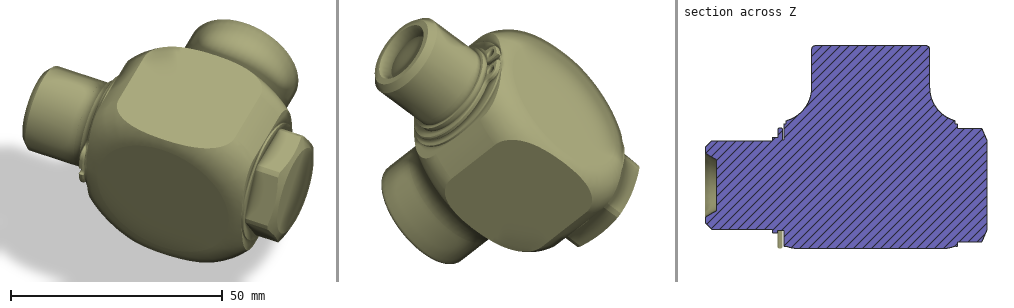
import cadquery as cq
import math

BODY_HALF = 20.0
BODY_RADIUS = 25.0
BODY_EDGE_RADIUS = 8.0
FRONT_Y = -15.0

NECK_RADIUS = 14.0
NECK_END_Y = 33.0
NECK_EDGE_RADIUS = 1.0
FLARE_RADIUS = 8.0
FLARE_END_Y = 23.0

PAD_RADIUS = 29.0 / 2
PAD_END = 20.5

GROOVE_RADIUS = 21.5 / 2
COLLAR_RADIUS = 22.7 / 2
COLLAR_START = 21.9
COLLAR_END = 23.2
PIPE_RADIUS = 21.0 / 2
RELIEF_RADIUS = 20.96 / 2
RELIEF_END = 25.0
PIPE_END = 39.0
PIPE_CHAMFER = 1.5
MOUTH_RADIUS = 7.5
MOUTH_FLOOR_RADIUS = 6.0
MOUTH_CONE_HALF_ANGLE = 30.0

RING_THICKNESS = 1.2
RING_RADIUS = 12.75
RING_OFFSET_Y = 0.8
RING_EDGE_CHAMFER = 0.25
LUG_OUTER_RADIUS = 15.0
LUG_HALF_WIDTH = 5.5
LUG_CORNER_RADIUS = 2.5
LUG_ROOT_RADIUS = 1.5
LUG_HOLE_DIAMETER = 2.0
LUG_HOLE_Y = -12.6
LUG_HOLE_Z = 3.0
RING_GAP = 2.0

HEX_FLATS = 24.0
HEX_TURNED_RADIUS = 13.5
HEX_END = 27.5
HEX_FACE_RADIUS = 10.6
HEX_CHAMFER_LENGTH = 1.25


def x_cylinder(radius, start, end):
    """Cylinder about the X axis between two X positions."""
    return cq.Workplane("YZ").workplane(offset=start).circle(radius).extrude(end - start)


def make_body():
    """Turned body with neck, trimmed to flat sides in X and Z."""
    rounding_center = BODY_RADIUS - BODY_EDGE_RADIUS
    flare_center = NECK_RADIUS + FLARE_RADIUS
    radius_sum = BODY_EDGE_RADIUS + FLARE_RADIUS
    center_gap = flare_center - rounding_center
    back_center_y = FLARE_END_Y - math.sqrt(radius_sum**2 - center_gap**2)
    lean = math.asin(center_gap / radius_sum)

    def rounding_point(y_center, angle):
        return (
            rounding_center + BODY_EDGE_RADIUS * math.sin(angle),
            y_center + BODY_EDGE_RADIUS * math.cos(angle),
        )

    def flare_point(angle):
        return (
            flare_center - FLARE_RADIUS * math.sin(angle),
            FLARE_END_Y - FLARE_RADIUS * math.cos(angle),
        )

    front_center_y = FRONT_Y + BODY_EDGE_RADIUS
    quarter = math.pi / 2
    turned = (
        cq.Workplane("XY")
        .moveTo(0, FRONT_Y)
        .lineTo(rounding_center, FRONT_Y)
        .threePointArc(rounding_point(front_center_y, 1.5 * quarter), (BODY_RADIUS, front_center_y))
        .lineTo(BODY_RADIUS, back_center_y)
        .threePointArc(
            rounding_point(back_center_y, (lean + quarter) / 2),
            rounding_point(back_center_y, lean),
        )
        .threePointArc(flare_point((lean + quarter) / 2), (NECK_RADIUS, FLARE_END_Y))
        .lineTo(NECK_RADIUS, NECK_END_Y)
        .lineTo(0, NECK_END_Y)
        .close()
        .revolve(360, (0, 0, 0), (0, 1, 0))
        .faces(">Y")
        .edges()
        .fillet(NECK_EDGE_RADIUS)
    )
    trim_length = 2 * (NECK_END_Y - FRONT_Y)
    return turned.intersect(cq.Workplane("XY").box(2 * BODY_HALF, 2 * trim_length, 2 * BODY_HALF))


def make_pipe():
    """Stepped pipe along -X with its groove floor, collar, chamfer and conical mouth."""
    groove = x_cylinder(GROOVE_RADIUS, -COLLAR_START, 0)
    collar = x_cylinder(COLLAR_RADIUS, -COLLAR_END, -COLLAR_START)
    relief = x_cylinder(RELIEF_RADIUS, -RELIEF_END, -COLLAR_END)
    pipe = x_cylinder(PIPE_RADIUS, -PIPE_END, -RELIEF_END).faces("<X").edges().chamfer(PIPE_CHAMFER)
    mouth_depth = (MOUTH_RADIUS - MOUTH_FLOOR_RADIUS) / math.tan(math.radians(MOUTH_CONE_HALF_ANGLE))
    mouth = cq.Workplane(
        cq.Solid.makeCone(
            MOUTH_RADIUS, MOUTH_FLOOR_RADIUS, mouth_depth, cq.Vector(-PIPE_END, 0, 0), cq.Vector(1, 0, 0)
        )
    )
    return groove.union(collar).union(relief).union(pipe).cut(mouth)


def make_snap_ring():
    """Eccentric snap ring with two drilled lugs either side of a gap."""
    start = -COLLAR_START
    plane = cq.Workplane("YZ").workplane(offset=start)
    ring = plane.center(RING_OFFSET_Y, 0).circle(RING_RADIUS).extrude(RING_THICKNESS)
    lug_block = plane.center(-LUG_OUTER_RADIUS / 2, 0).rect(LUG_OUTER_RADIUS, 2 * LUG_HALF_WIDTH)
    lugs = lug_block.extrude(RING_THICKNESS).intersect(
        plane.circle(LUG_OUTER_RADIUS).extrude(RING_THICKNESS)
    )
    ring = ring.union(lugs)
    corner_y = -math.sqrt(LUG_OUTER_RADIUS**2 - LUG_HALF_WIDTH**2)
    root_y = RING_OFFSET_Y - math.sqrt(RING_RADIUS**2 - LUG_HALF_WIDTH**2)
    middle_x = start + RING_THICKNESS / 2
    for y, radius in ((corner_y, LUG_CORNER_RADIUS), (root_y, LUG_ROOT_RADIUS)):
        for z in (-LUG_HALF_WIDTH, LUG_HALF_WIDTH):
            ring = ring.edges(cq.selectors.NearestToPointSelector((middle_x, y, z))).fillet(radius)
    gap = plane.center(-LUG_OUTER_RADIUS, 0).rect(2 * LUG_OUTER_RADIUS, RING_GAP).extrude(RING_THICKNESS)
    holes = (
        plane.pushPoints([(LUG_HOLE_Y, -LUG_HOLE_Z), (LUG_HOLE_Y, LUG_HOLE_Z)])
        .circle(LUG_HOLE_DIAMETER / 2)
        .extrude(RING_THICKNESS)
    )
    ring = ring.cut(gap).cut(holes)
    return ring.faces("<X or >X").edges().chamfer(RING_EDGE_CHAMFER)


def make_hex_head():
    """Hexagon with corners at +Y and -Y, turned and chamfered at the outer end."""
    corner_diameter = HEX_FLATS / math.cos(math.pi / 6)
    hexagon = cq.Workplane("YZ").polygon(6, corner_diameter).extrude(HEX_END)
    turned = (
        x_cylinder(HEX_TURNED_RADIUS, 0, HEX_END)
        .faces(">X")
        .edges()
        .chamfer(HEX_CHAMFER_LENGTH, HEX_TURNED_RADIUS - HEX_FACE_RADIUS)
    )
    return hexagon.intersect(turned)


pads = x_cylinder(PAD_RADIUS, -PAD_END, PAD_END)
result = make_body().union(pads).union(make_hex_head()).union(make_pipe()).union(make_snap_ring())